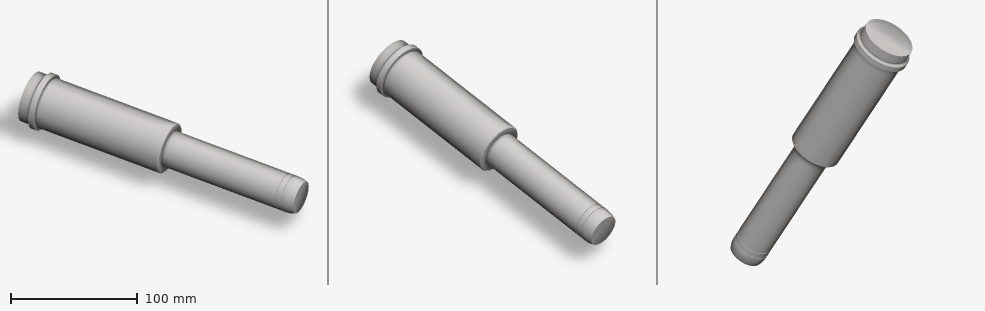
import cadquery as cq

sleeve_diameter = 42.0
collar_diameter = 47.0
pin_diameter = 30.0
pin_tip_diameter = 27.0

total_length = 240.0
head_length = 8.2
collar_start = 9.4
collar_end = 15.0
sleeve_end = 123.8
sleeve_taper_start = 118.8
nose_start = 233.0

collar_chamfer = 0.7
undercut_width = 1.2
undercut_depth = 0.7
sleeve_taper_drop = 0.05
sleeve_chamfer = 0.7
relief_length = 0.7
relief_depth = 0.2
ring_groove_starts = (224.2, 229.2)
ring_groove_width = 1.0
ring_groove_depth = 0.5


def cylinder(start, end, diameter):
    """Solid cylinder on the X axis between two positions."""
    return cq.Workplane("YZ", origin=(start, 0, 0)).circle(diameter / 2).extrude(end - start)


def groove(start, width, diameter, depth):
    """Ring that cuts a square groove into a cylinder of the given diameter."""
    end = start + width
    return cylinder(start, end, diameter + 2 * depth).cut(cylinder(start, end, diameter - 2 * depth))


def make_sleeve():
    """Sleeve with a slightly tapered, chamfered far end and undercuts on both sides of the collar."""
    sleeve_radius = sleeve_diameter / 2
    end_radius = sleeve_radius - sleeve_taper_drop
    sleeve = (
        cq.Workplane("XY")
        .lineTo(0, sleeve_radius)
        .lineTo(sleeve_taper_start, sleeve_radius)
        .lineTo(sleeve_end - sleeve_chamfer, end_radius)
        .lineTo(sleeve_end, end_radius - sleeve_chamfer)
        .lineTo(sleeve_end, 0)
        .close()
        .revolve(360, (0, 0, 0), (1, 0, 0))
    )
    sleeve = sleeve.cut(groove(head_length, collar_start - head_length, sleeve_diameter, undercut_depth))
    return sleeve.cut(groove(collar_end, undercut_width, sleeve_diameter, undercut_depth))


def make_collar():
    """Collar with a chamfer on the edge that faces the head."""
    collar = cylinder(collar_start, collar_end, collar_diameter)
    return collar.faces("<X").chamfer(collar_chamfer)


def make_pin():
    """Pin with a relief at the sleeve, two ring grooves near the tip and a rounded nose."""
    pin_radius = pin_diameter / 2
    tip_radius = pin_tip_diameter / 2
    pin = (
        cq.Workplane("XY")
        .moveTo(sleeve_end, 0)
        .lineTo(sleeve_end, pin_radius)
        .lineTo(nose_start, pin_radius)
        .tangentArcPoint((total_length, tip_radius), relative=False)
        .lineTo(total_length, 0)
        .close()
        .revolve(360, (0, 0, 0), (1, 0, 0))
    )
    for start in ring_groove_starts:
        pin = pin.cut(groove(start, ring_groove_width, pin_diameter, ring_groove_depth))
    return pin.cut(groove(sleeve_end, relief_length, pin_diameter, relief_depth))


result = make_sleeve().union(make_collar()).union(make_pin())